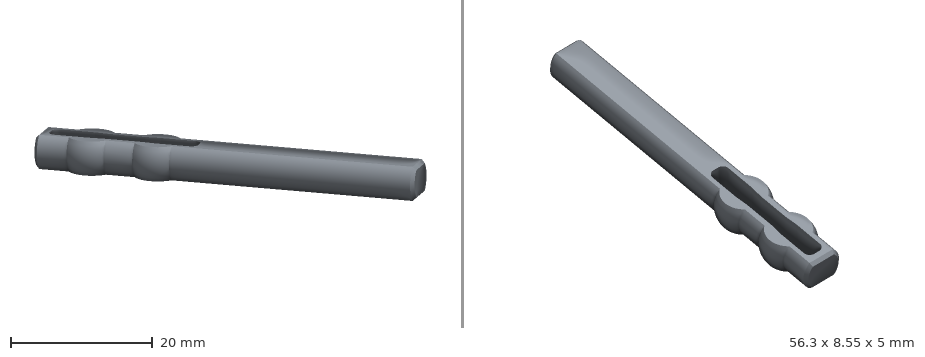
import cadquery as cq

rod_length = 56.25
rod_diameter = 6.6
thickness = 5.0
bead_diameter = 8.55
bead_spacing = 9.75
end_chamfer = 0.5

slot_length = 22.0
slot_center_x = 12.5
slot_width = 2.9
slot_waist_width = 2.6
slot_taper_length = 2.2
slot_corner_radius = 1.0

bead_positions = [slot_center_x + side * bead_spacing / 2 for side in (-1, 1)]


def trim_to_flats(body):
    """Trim a body of revolution to the slab between the two flats."""
    slab = cq.Workplane("XY").box(rod_length, bead_diameter, thickness).translate((rod_length / 2, 0, 0))
    return body.intersect(slab)


def make_rod():
    """Round rod along X with two flats, chamfered all round both ends."""
    rod = cq.Workplane("YZ").circle(rod_diameter / 2).extrude(rod_length)
    return trim_to_flats(rod).faces("<X or >X").chamfer(end_chamfer)


def make_bead(x):
    """Spherical swelling centred on the rod axis, cut off by the same flats."""
    return trim_to_flats(cq.Workplane("XY").sphere(bead_diameter / 2).translate((x, 0, 0)))


def make_slot():
    """Through slot with rounded corners, tapering to a narrower waist between the beads."""
    end_x = slot_length / 2
    taper_x = bead_spacing / 2
    waist_x = taper_x - slot_taper_length
    wide_y = slot_width / 2
    waist_y = slot_waist_width / 2
    upper_side = [
        (-end_x, wide_y),
        (-taper_x, wide_y),
        (-waist_x, waist_y),
        (waist_x, waist_y),
        (taper_x, wide_y),
        (end_x, wide_y),
    ]
    lower_side = [(x, -y) for x, y in reversed(upper_side)]
    slot = cq.Workplane("XY").polyline(upper_side + lower_side).close().extrude(thickness / 2, both=True)
    slot = slot.edges("|Z and (<X or >X)").fillet(slot_corner_radius)
    return slot.translate((slot_center_x, 0, 0))


result = make_rod()
for bead_x in bead_positions:
    result = result.union(make_bead(bead_x))
result = result.cut(make_slot())